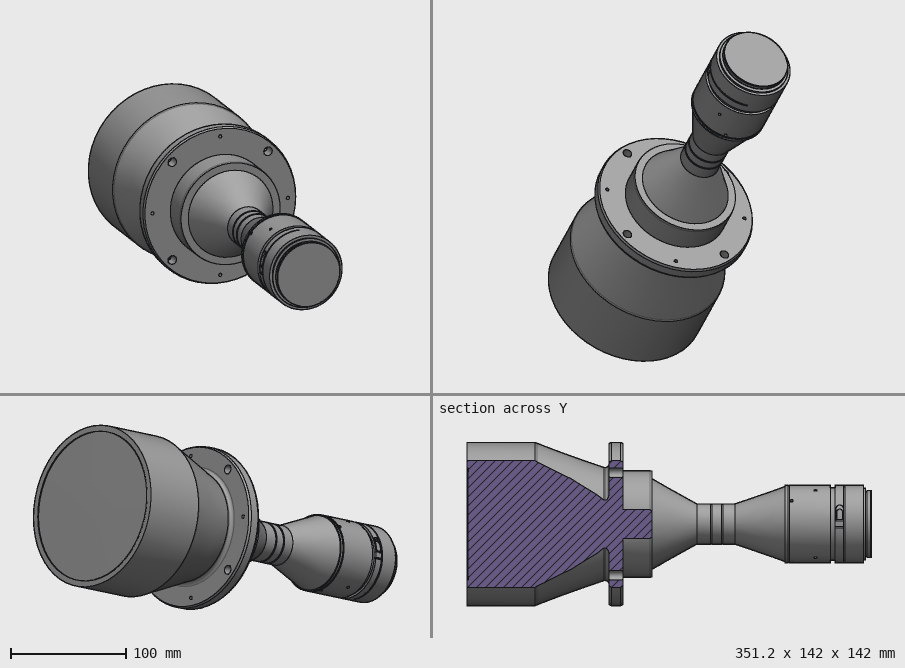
import cadquery as cq

LENGTH = 351.2
MID = LENGTH / 2

OVERCUT = 3.5

BARREL_R = 71.0
BARREL_END = 60.0
BARREL_EDGE = 0.7
TAPER_END = 119.0
COLLAR_R = 49.0
COLLAR_START = 120.0

LENS_R = 65.5
LENS_EDGE_DEPTH = 1.0
LENS_CENTRE_DEPTH = 0.5

FLANGE_FRONT = 123.3
FLANGE_BACK = 135.5
FLANGE_CHAMFER_LENGTH = 2.0
FLANGE_CHAMFER_DEPTH = 1.0
COLLAR_FILLET = FLANGE_FRONT - COLLAR_START
HOLE_CIRCLE_R = 63.0
FLANGE_HOLE_COUNT = 4
BOLT_HOLE_D = 7.7
BOLT_START_ANGLE = 45
PIN_HOLE_D = 2.8
PIN_START_ANGLE = 0

HUB_R = 46.5
HUB_END = 161.0
HUB_EDGE_LENGTH = 2.0
HUB_EDGE_DEPTH = 0.5

CONE_FRONT_R = 39.5
WAIST_R = 17.5
WAIST_START = 199.5
WAIST_END = 232.5
WAIST_GROOVES = (212.0, 221.5)
SEAM_WIDTH = 1.0
SEAM_DEPTH = 0.5

REAR_R = 33.7
REAR_START = 276.0
REAR_CONE_R = 32.5
REAR_SEAM = 279.2
REAR_GROOVE_START = 315.5
REAR_GROOVE_END = 319.5
REAR_GROOVE_R = 31.5
REAR_END = 344.0
STEP_R = 31.3
STEP_END = 346.0
MOUNT_R = 29.0
MOUNT_NECK_R = 28.0
MOUNT_START = 347.0
MOUNT_CHAMFER_LENGTH = 1.0
MOUNT_CHAMFER_DEPTH = 0.5

SCREW_HOLE_D = 2.5
SCREW_HOLE_DEPTH = 2.8
SCREW_COUNT = 3
FRONT_SCREWS_X = 281.5
FRONT_SCREWS_ANGLE = 23
REAR_SCREWS_X = 302.5
REAR_SCREWS_ANGLE = 0

SPLIT_X = 327.3
SPLIT_WIDTH = 1.0
SPLIT_DEPTH = 1.8
WINDOW_X = 323.5
WINDOW_BOTTOM = 2.65
WINDOW_TOP = 16.5
WINDOW_WIDTH = 6.3
WINDOW_DEPTH = 2.8
TAB_BOTTOM = 4.0
TAB_TOP = 13.0
TAB_WIDTH = 5.0
NOTCH_Z = -2.8
NOTCH_WIDTH = 1.0


def ring_cut(x, width, outer_r, depth):
    """Ring that cuts a shallow groove, centred at x, into a cylinder."""
    start = cq.Workplane("YZ", origin=(x - MID - width / 2, 0, 0))
    return start.circle(outer_r + OVERCUT).circle(outer_r - depth).extrude(width)


def body():
    """Solid turned from half of its lengthwise section, then centred on the origin."""
    profile = (
        cq.Workplane("XY")
        .moveTo(LENS_CENTRE_DEPTH, 0)
        .lineTo(LENS_EDGE_DEPTH, LENS_R)
        .lineTo(0, LENS_R)
        .lineTo(0, BARREL_R)
        .lineTo(BARREL_END - BARREL_EDGE, BARREL_R)
        .lineTo(BARREL_END + BARREL_EDGE, BARREL_R - BARREL_EDGE)
        .lineTo(TAPER_END, COLLAR_R)
        .lineTo(COLLAR_START, COLLAR_R)
        .radiusArc((FLANGE_FRONT, COLLAR_R + COLLAR_FILLET), -COLLAR_FILLET)
        .lineTo(FLANGE_FRONT, BARREL_R - FLANGE_CHAMFER_DEPTH)
        .lineTo(FLANGE_FRONT + FLANGE_CHAMFER_LENGTH, BARREL_R)
        .lineTo(FLANGE_BACK - FLANGE_CHAMFER_LENGTH, BARREL_R)
        .lineTo(FLANGE_BACK, BARREL_R - FLANGE_CHAMFER_DEPTH)
        .lineTo(FLANGE_BACK, HUB_R)
        .lineTo(HUB_END - HUB_EDGE_LENGTH, HUB_R)
        .lineTo(HUB_END, HUB_R - HUB_EDGE_DEPTH)
        .lineTo(HUB_END, CONE_FRONT_R)
        .lineTo(WAIST_START, WAIST_R)
        .lineTo(WAIST_END, WAIST_R)
        .lineTo(REAR_START, REAR_CONE_R)
        .lineTo(REAR_START, REAR_R)
        .lineTo(REAR_GROOVE_START, REAR_R)
        .lineTo(REAR_GROOVE_START, REAR_GROOVE_R)
        .lineTo(REAR_GROOVE_END, REAR_GROOVE_R)
        .lineTo(REAR_GROOVE_END, REAR_R)
        .lineTo(REAR_END, REAR_R)
        .lineTo(REAR_END, STEP_R)
        .lineTo(STEP_END, STEP_R)
        .lineTo(STEP_END, MOUNT_NECK_R)
        .lineTo(MOUNT_START, MOUNT_NECK_R)
        .lineTo(MOUNT_START, MOUNT_R)
        .lineTo(LENGTH - MOUNT_CHAMFER_LENGTH, MOUNT_R)
        .lineTo(LENGTH, MOUNT_R - MOUNT_CHAMFER_DEPTH)
        .lineTo(LENGTH, 0)
        .close()
    )
    turned = profile.revolve(360, (0, 0, 0), (1, 0, 0))
    return turned.translate((-MID, 0, 0))


def flange_holes(diameter, start_angle):
    """Evenly spaced holes right through the flange."""
    return (
        cq.Workplane("YZ", origin=(FLANGE_FRONT - MID, 0, 0))
        .polarArray(HOLE_CIRCLE_R, start_angle, 360, FLANGE_HOLE_COUNT)
        .circle(diameter / 2)
        .extrude(FLANGE_BACK - FLANGE_FRONT)
    )


def screw_holes(x, start_angle):
    """Radial blind holes; angles are measured from +Y toward +Z."""
    hole = (
        cq.Workplane("XZ", origin=(x - MID, REAR_R + OVERCUT, 0))
        .circle(SCREW_HOLE_D / 2)
        .extrude(SCREW_HOLE_DEPTH + OVERCUT)
    )
    holes = cq.Workplane("XY")
    for i in range(SCREW_COUNT):
        angle = start_angle + i * 360 / SCREW_COUNT
        holes = holes.add(hole.rotate((0, 0, 0), (1, 0, 0), angle))
    return holes.combine()


def split_groove():
    """Groove around the -Y half only."""
    half = cq.Workplane("XY").box(LENGTH, 2 * REAR_R, 4 * REAR_R).translate((0, -REAR_R, 0))
    return ring_cut(SPLIT_X, SPLIT_WIDTH, REAR_R, SPLIT_DEPTH).intersect(half)


def arch(bottom, top, width):
    """Prism along -Y with a square lower end and a round upper end."""
    half_width = width / 2
    return (
        cq.Workplane("XZ", origin=(WINDOW_X - MID, 0, 0))
        .moveTo(-half_width, bottom)
        .lineTo(half_width, bottom)
        .lineTo(half_width, top - half_width)
        .threePointArc((0, top), (-half_width, top - half_width))
        .close()
        .extrude(REAR_R + OVERCUT)
    )


def window():
    """Shallow arched recess of even depth, with an arched tab left standing in it."""
    recess = arch(WINDOW_BOTTOM, WINDOW_TOP, WINDOW_WIDTH).cut(arch(TAB_BOTTOM, TAB_TOP, TAB_WIDTH))
    return recess.intersect(ring_cut(WINDOW_X, WINDOW_WIDTH, REAR_R, WINDOW_DEPTH))


def notch():
    """Short lengthwise groove joining the ring groove to the split groove."""
    length = SPLIT_X - REAR_GROOVE_END
    block = cq.Workplane("XY").box(length, 2 * SPLIT_DEPTH, NOTCH_WIDTH)
    return block.translate(((SPLIT_X + REAR_GROOVE_END) / 2 - MID, -REAR_R, NOTCH_Z))


result = body()
for seam_x in WAIST_GROOVES:
    result = result.cut(ring_cut(seam_x, SEAM_WIDTH, WAIST_R, SEAM_DEPTH))
result = result.cut(ring_cut(REAR_SEAM, SEAM_WIDTH, REAR_R, SEAM_DEPTH))
result = result.cut(flange_holes(BOLT_HOLE_D, BOLT_START_ANGLE))
result = result.cut(flange_holes(PIN_HOLE_D, PIN_START_ANGLE))
result = result.cut(screw_holes(FRONT_SCREWS_X, FRONT_SCREWS_ANGLE))
result = result.cut(screw_holes(REAR_SCREWS_X, REAR_SCREWS_ANGLE))
result = result.cut(split_groove()).cut(window()).cut(notch())